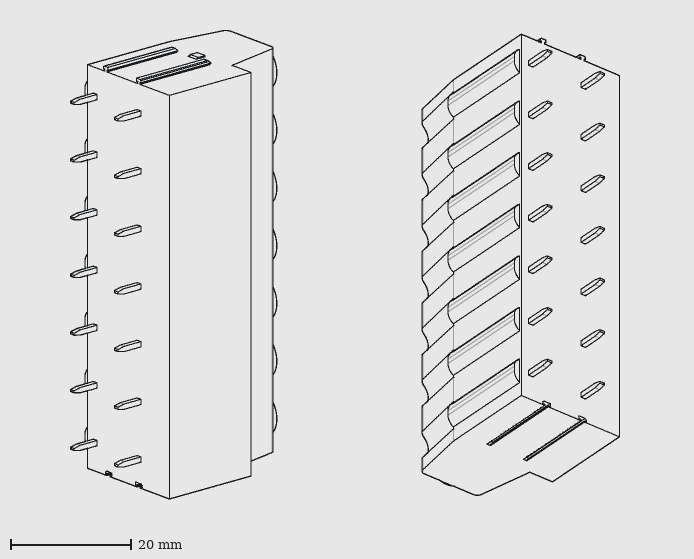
import cadquery as cq
import math

pole_count = 7
housing_length = 71.0
pole_pitch = housing_length / pole_count
base_width = 20.85
base_height = 18.0
taper_start = 18.2
housing_height = 29.25

tower_left = 1.7
tower_right = 13.9
tower_right_foot = 16.0
tower_rounding = 1.0

screw_x = 8.55
screw_diameter = 8.2
screw_projection = 1.5

rib_half_width = 2.3
rib_flat_half_width = 0.4
rib_projection = 1.15
rib_start = 0.4
groove_radius = 2.8
groove_depth_bottom = 2.0
groove_depth_top = 1.65

pin_xs = (2.0, 13.15)
pin_size = 0.9
pin_length = 5.0
pin_tip_length = 1.3
pin_tip_bevel = 0.3

rail_middle_x = 8.85
rail_spacing = 8.4
rail_head_width = 1.15
rail_neck_width = 0.65
rail_height = 0.85
rail_neck_height = 0.3
rail_corner_width = 0.2
rail_corner_drop = 0.15
rail_length = 15.45
rail_end_bevel = 0.6

slot_middle_x = 9.2
slot_spacing = 7.7
slot_head_width = 1.6
slot_mouth_width = 0.7
slot_depth = 0.8
slot_lip = 0.2
slot_corner = 0.3

nub_x = 8.8
nub_width = 2.0
nub_start = 15.45
nub_crease = 15.95
nub_end = 17.5
nub_height = 0.2

pole_zs = [(index + 0.5) * pole_pitch for index in range(pole_count)]


def make_housing():
    """Block with a low shoulder on the right and a tapered tower with rounded top edges."""
    outline = [
        (0, 0),
        (base_width, 0),
        (base_width, base_height),
        (tower_right_foot, base_height),
        (tower_right, housing_height),
        (tower_left, housing_height),
        (0, taper_start),
    ]
    block = cq.Workplane("XY").polyline(outline).close().extrude(housing_length)
    return block.edges("|Z and >Y").fillet(tower_rounding)


def make_groove(z):
    """Cylinder that hollows the tapered wall, starting on the ledge above the rib."""
    axis_foot = cq.Vector(groove_depth_bottom - groove_radius, taper_start, z)
    axis_top = cq.Vector(tower_left + groove_depth_top - groove_radius, housing_height, z)
    direction = axis_top - axis_foot
    overrun = groove_radius
    start = axis_foot - direction.normalized() * overrun
    length = direction.Length + 2 * overrun
    cylinder = cq.Solid.makeCylinder(groove_radius, length, start, direction)
    above_ledge = cq.Workplane("XZ", origin=(0, taper_start, z))
    above_ledge = above_ledge.rect(2 * base_width, pole_pitch).extrude(-housing_height)
    return above_ledge.intersect(cq.Workplane(obj=cylinder))


def make_rib(z):
    """Rib whose flat crest runs smoothly into a circular flank on each side."""
    flank_width = rib_half_width - rib_flat_half_width
    flank_radius = (flank_width**2 + rib_projection**2) / (2 * rib_projection)
    half_sweep = math.asin(flank_width / flank_radius) / 2
    middle_x = -rib_projection + flank_radius * (1 - math.cos(half_sweep))
    middle_offset = rib_flat_half_width + flank_radius * math.sin(half_sweep)
    profile = (
        cq.Workplane("XZ", origin=(0, rib_start, 0))
        .moveTo(0, z - rib_half_width)
        .threePointArc((middle_x, z - middle_offset), (-rib_projection, z - rib_flat_half_width))
        .lineTo(-rib_projection, z + rib_flat_half_width)
        .threePointArc((middle_x, z + middle_offset), (0, z + rib_half_width))
    )
    return profile.close().extrude(rib_start - taper_start)


def make_screw(z):
    plane = cq.Workplane("XZ", origin=(screw_x, housing_height, z))
    return plane.circle(screw_diameter / 2).extrude(-screw_projection)


def make_pin(x, z):
    """Square pin whose tip narrows along Z."""
    half = pin_size / 2
    tip_half = half - pin_tip_bevel
    outline = [
        (0, z - half),
        (-(pin_length - pin_tip_length), z - half),
        (-pin_length, z - tip_half),
        (-pin_length, z + tip_half),
        (-(pin_length - pin_tip_length), z + half),
        (0, z + half),
    ]
    plane = cq.Workplane("YZ", origin=(x - half, 0, 0))
    return plane.polyline(outline).close().extrude(pin_size)


def extrude_section(section, x, base_z, outward):
    """Bar along Y from a section given as (distance outward from x, height above base_z)."""
    points = [(x + outward * across, base_z + up) for across, up in section]
    return cq.Workplane("XZ").polyline(points).close().extrude(-rail_length)


def make_rail(outward):
    """T-shaped rail with a bevelled outward edge and a bevelled far end."""
    x = rail_middle_x + outward * rail_spacing / 2
    head = rail_head_width / 2
    neck = rail_neck_width / 2
    section = [
        (-neck, 0),
        (neck, 0),
        (neck, rail_neck_height),
        (head, rail_neck_height),
        (head, rail_height - rail_corner_drop),
        (head - rail_corner_width, rail_height),
        (-head, rail_height),
        (-head, rail_neck_height),
        (-neck, rail_neck_height),
    ]
    bar = extrude_section(section, x, housing_length, outward)
    side = [
        (0, 0),
        (rail_length, 0),
        (rail_length, rail_height - rail_end_bevel),
        (rail_length - rail_end_bevel, rail_height),
        (0, rail_height),
    ]
    plane = cq.Workplane("YZ", origin=(x - head, 0, housing_length))
    return bar.intersect(plane.polyline(side).close().extrude(rail_head_width))


def make_slot(outward):
    """T-shaped slot with a narrow mouth and a bevelled outward corner."""
    x = slot_middle_x + outward * slot_spacing / 2
    head = slot_head_width / 2
    mouth = slot_mouth_width / 2
    section = [
        (-mouth, 0),
        (mouth, 0),
        (mouth, slot_lip),
        (head, slot_lip),
        (head, slot_depth - slot_corner),
        (head - slot_corner, slot_depth),
        (-head, slot_depth),
        (-head, slot_lip),
        (-mouth, slot_lip),
    ]
    return extrude_section(section, x, 0, outward)


def make_nub():
    """Low latch nub with a ramp facing the pin face."""
    profile = [(nub_start, 0), (nub_crease, nub_height), (nub_end, nub_height), (nub_end, 0)]
    plane = cq.Workplane("YZ", origin=(nub_x - nub_width / 2, 0, housing_length))
    return plane.polyline(profile).close().extrude(nub_width)


result = make_housing()
for pole_z in pole_zs:
    result = result.cut(make_groove(pole_z))
    result = result.union(make_rib(pole_z)).union(make_screw(pole_z))
    for pin_x in pin_xs:
        result = result.union(make_pin(pin_x, pole_z))
for outward in (-1, 1):
    result = result.union(make_rail(outward)).cut(make_slot(outward))
result = result.union(make_nub())